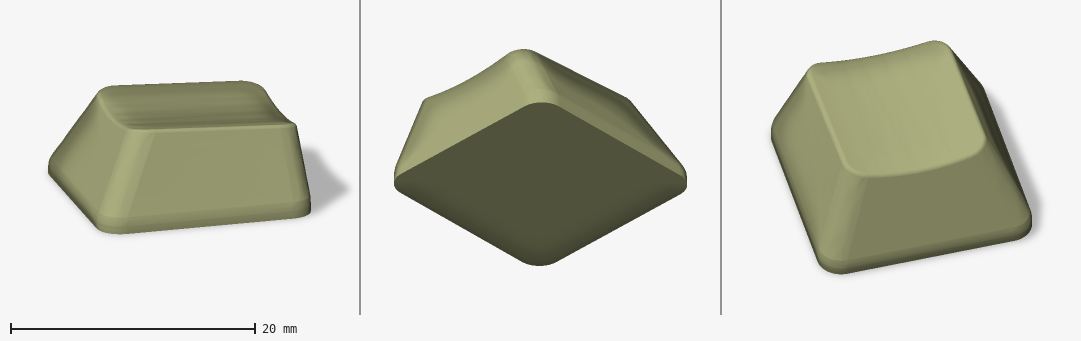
import cadquery as cq
import math

base_size = 18.16
base_corner_radius = 2.0
skirt_height = 0.65

bend_height = 0.73
bend_sections = 5
side_slope = 0.447
front_slope = 0.535
back_slope = 0.078
bend_corner_radius = 1.89

upper_width = 11.84
upper_front_y = -5.41
upper_back_y = 8.59
upper_front_height = 7.99
upper_corner_radius = 1.82

dish_radius = 23.6
dish_front_y = -5.63
dish_front_height = 7.06
dish_tilt = 3.25
dish_length = 54.48
rim_radius = 0.36


def rounded_rectangle(width, depth, radius):
    return cq.Sketch().rect(width, depth).vertices().fillet(radius)


def bend_outline(rise):
    """Outline of the bend at a rise above the skirt, drawn in along a parabola."""
    sloped_height = rise ** 2 / (2 * bend_height)
    width = base_size - 2 * side_slope * sloped_height
    depth = base_size - (front_slope + back_slope) * sloped_height
    center_y = (front_slope - back_slope) * sloped_height / 2
    radius_loss = (base_corner_radius - bend_corner_radius) * (rise / bend_height) ** 2
    outline = rounded_rectangle(width, depth, base_corner_radius - radius_loss)
    return outline.moved(cq.Location(cq.Vector(0, center_y, skirt_height + rise)))


def upper_outline():
    """Outline at the top of the walls, tilted like the dish."""
    half_run = (upper_back_y - upper_front_y) / 2
    tilt = math.radians(dish_tilt)
    center = cq.Vector(
        0, upper_front_y + half_run, upper_front_height - half_run * math.tan(tilt)
    )
    outline = rounded_rectangle(upper_width, 2 * half_run / math.cos(tilt), upper_corner_radius)
    return outline.moved(cq.Location(center, cq.Vector(1, 0, 0), -dish_tilt))


def make_blank():
    """Skirt, bend and sloping walls, taller than the finished part."""
    base = rounded_rectangle(base_size, base_size, base_corner_radius)
    skirt = cq.Workplane("XY").placeSketch(base).extrude(skirt_height)

    step = bend_height / (bend_sections - 1)
    bend_outlines = [bend_outline(i * step) for i in range(bend_sections)]
    bend = cq.Workplane("XY").placeSketch(*bend_outlines).loft()

    wall_outlines = [bend_outline(bend_height), upper_outline()]
    walls = cq.Workplane("XY").placeSketch(*wall_outlines).loft(ruled=True)
    return skirt.union(bend).union(walls)


def make_dish_cutter():
    """Long tilted cylinder whose lowest line is the bottom of the dish."""
    tilt = math.radians(dish_tilt)
    along = cq.Vector(0, math.cos(tilt), -math.sin(tilt))
    upward = cq.Vector(0, math.sin(tilt), math.cos(tilt))
    dish_front = cq.Vector(0, dish_front_y, dish_front_height)
    start = dish_front + upward * dish_radius - along * (dish_length / 2)
    return cq.Workplane(cq.Solid.makeCylinder(dish_radius, dish_length, start, along))


def round_rim(body):
    """Round the edge all around the dished top."""
    dish = body.faces(cq.selectors.BoxSelector(
        (-base_size, -base_size, upper_front_height / 2),
        (base_size, base_size, upper_front_height),
    )).faces("%CYLINDER")
    return dish.edges().fillet(rim_radius)


body = make_blank().cut(make_dish_cutter())
result = round_rim(body)